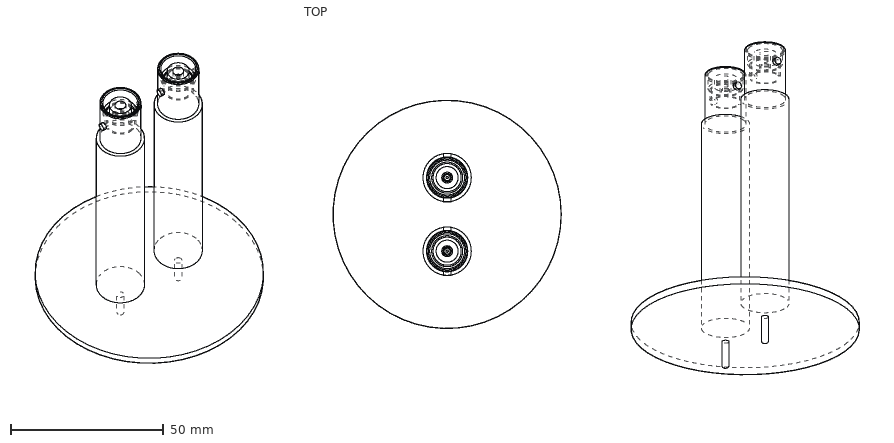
import cadquery as cq

flange_diameter = 74.9
flange_top_diameter = 58.7
flange_bottom = 9.3
flange_rim_height = 2.5
flange_thickness = 4.9
flange_top = flange_bottom + flange_thickness

connector_spacing = 24.1
total_height = 105.0

tube_diameter = 15.8
tube_top = 87.2

head_diameter = 13.5
rim_outer_diameter = 13.1
rim_outer_chamfer_height = 0.4
rim_inner_diameter = 12.3
rim_inner_chamfer_height = 0.3
mouth_diameter = 11.4
mouth_depth = 5.0
socket_diameter = 10.2
socket_taper_height = 0.6
cup_depth = 10.0

insulator_recess = 1.4
insulator_tip_diameter = 7.2
insulator_tip_length = 3.1
insulator_base_diameter = 9.2
insulator_taper_height = 1.0
insulator_bore_diameter = 3.6
insulator_bore_depth = 5.2

contact_base_diameter = 2.7
contact_base_height = 1.0
contact_diameter = 2.0
contact_height = 3.1
contact_tip_chamfer = 0.6

stud_diameter = 2.4
stud_span = tube_diameter
stud_center = 98.1

pin_diameter = 2.4
pin_tip_radius = 0.9


def cylinder(diameter, bottom, top):
    """Vertical cylinder on the Z axis between two heights."""
    return cq.Workplane("XY").workplane(offset=bottom).circle(diameter / 2).extrude(top - bottom)


def revolve_profile(points):
    """Solid of revolution about Z from (radius, height) points."""
    return cq.Workplane("XZ").polyline(points).close().revolve(360, (0, 0, 0), (0, 1, 0))


def make_flange():
    """Flange with a cylindrical rim and a conical upper edge."""
    return revolve_profile([
        (0, flange_bottom),
        (flange_diameter / 2, flange_bottom),
        (flange_diameter / 2, flange_bottom + flange_rim_height),
        (flange_top_diameter / 2, flange_top),
        (0, flange_top),
    ])


def make_head():
    """Cup-shaped head with its chamfered rim and narrowing bore."""
    cup_floor = total_height - cup_depth
    mouth_bottom = total_height - mouth_depth
    return revolve_profile([
        (0, tube_top),
        (head_diameter / 2, tube_top),
        (head_diameter / 2, total_height - rim_outer_chamfer_height),
        (rim_outer_diameter / 2, total_height),
        (rim_inner_diameter / 2, total_height),
        (mouth_diameter / 2, total_height - rim_inner_chamfer_height),
        (mouth_diameter / 2, mouth_bottom),
        (socket_diameter / 2, mouth_bottom - socket_taper_height),
        (socket_diameter / 2, cup_floor),
        (0, cup_floor),
    ])


def make_insulator():
    """Insulator with a slim tip and a blind bore around the contact."""
    base = total_height - cup_depth
    tip = total_height - insulator_recess
    taper_top = tip - insulator_tip_length
    taper_bottom = taper_top - insulator_taper_height
    bore_floor = tip - insulator_bore_depth
    return revolve_profile([
        (0, base),
        (insulator_base_diameter / 2, base),
        (insulator_base_diameter / 2, taper_bottom),
        (insulator_tip_diameter / 2, taper_top),
        (insulator_tip_diameter / 2, tip),
        (insulator_bore_diameter / 2, tip),
        (insulator_bore_diameter / 2, bore_floor),
        (0, bore_floor),
    ])


def make_contact():
    """Contact with a wider base and a chamfered tip."""
    bottom = total_height - insulator_recess - insulator_bore_depth
    base = cylinder(contact_base_diameter, bottom, bottom + contact_base_height)
    post = cylinder(contact_diameter, bottom, bottom + contact_height)
    return base.union(post.faces(">Z").chamfer(contact_tip_chamfer))


def make_studs():
    """Both bayonet studs, with no material crossing the cup."""
    bar = (
        cq.Workplane("XZ", origin=(0, 0, stud_center))
        .circle(stud_diameter / 2)
        .extrude(stud_span / 2, both=True)
    )
    return bar.cut(cylinder(mouth_diameter, tube_top, total_height))


def make_pin():
    """Pin with a rounded lower tip."""
    return cylinder(pin_diameter, 0, flange_bottom).faces("<Z").fillet(pin_tip_radius)


def make_connector():
    """One complete connector on the Z axis."""
    return (
        cylinder(tube_diameter, flange_top, tube_top)
        .union(make_head())
        .union(make_insulator())
        .union(make_contact())
        .union(make_studs())
        .union(make_pin())
    )


connector = make_connector()
result = make_flange()
for side in (-1, 1):
    result = result.union(connector.translate((0, side * connector_spacing / 2, 0)))